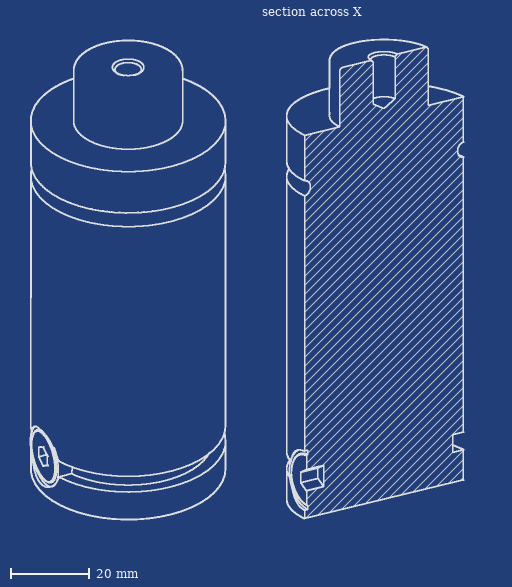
import cadquery as cq

total_height = 120.7
body_diameter = 50.0
body_height = 104.6
rod_diameter = 28.0
rod_edge_radius = 1.1

upper_groove_bottom = 88.1
upper_groove_top = 92.2
upper_groove_depth = 1.8

lower_groove_bottom = 8.3
lower_groove_top = 13.0
lower_groove_diameter = 43.2

rod_hole_diameter = 6.8
rod_hole_mouth_diameter = 8.1
rod_hole_depth = 12.1
drill_tip_height = 1.9

port_height = 10.4
port_diameter = 16.0
port_floor_distance = 24.0
port_root_distance = 18.1
plug_diameter = 14.0
plug_face_distance = 24.4
plug_chamfer = 0.3
socket_across_flats = 5.0
socket_depth = 5.4

body_radius = body_diameter / 2
rod_radius = rod_diameter / 2


def make_turned_body():
    """Revolve the body, both grooves and the rounded rod about Z."""
    lower_groove_radius = lower_groove_diameter / 2
    upper_groove_middle = (upper_groove_bottom + upper_groove_top) / 2
    return (
        cq.Workplane("XZ")
        .lineTo(body_radius, 0)
        .lineTo(body_radius, lower_groove_bottom)
        .lineTo(lower_groove_radius, lower_groove_bottom)
        .lineTo(lower_groove_radius, lower_groove_top)
        .lineTo(body_radius, lower_groove_top)
        .lineTo(body_radius, upper_groove_bottom)
        .threePointArc(
            (body_radius - upper_groove_depth, upper_groove_middle),
            (body_radius, upper_groove_top),
        )
        .lineTo(body_radius, body_height)
        .lineTo(rod_radius, body_height)
        .lineTo(rod_radius, total_height - rod_edge_radius)
        .radiusArc((rod_radius - rod_edge_radius, total_height), -rod_edge_radius)
        .lineTo(0, total_height)
        .close()
        .revolve(360, (0, 0, 0), (0, 1, 0))
    )


def make_rod_hole():
    """Blind hole with a 45 degree mouth chamfer and a conical bottom."""
    hole_radius = rod_hole_diameter / 2
    mouth_radius = rod_hole_mouth_diameter / 2
    hole_bottom = total_height - rod_hole_depth
    return (
        cq.Workplane("XZ")
        .moveTo(0, total_height)
        .lineTo(mouth_radius, total_height)
        .lineTo(hole_radius, total_height - (mouth_radius - hole_radius))
        .lineTo(hole_radius, hole_bottom)
        .lineTo(0, hole_bottom - drill_tip_height)
        .close()
        .revolve(360, (0, 0, 0), (0, 1, 0))
    )


def port_plane(distance):
    """Plane facing -Y, centred on the port at a distance from the body axis."""
    return cq.Workplane("XZ", origin=(0, -distance, port_height))


def add_port(body):
    """Add the port seat across the groove, then the plug and its socket."""
    port_radius = port_diameter / 2
    clearance = port_plane(port_floor_distance).circle(port_radius).extrude(body_radius)
    seat = port_plane(port_root_distance).circle(port_radius).extrude(
        port_floor_distance - port_root_distance
    )
    plug = (
        port_plane(port_root_distance)
        .circle(plug_diameter / 2)
        .extrude(plug_face_distance - port_root_distance)
        .faces("<Y")
        .chamfer(plug_chamfer)
    )
    socket = (
        port_plane(plug_face_distance - socket_depth)
        .polygon(6, socket_across_flats, circumscribed=True)
        .extrude(socket_depth)
    )
    return body.cut(clearance).union(seat).union(plug).cut(socket)


result = add_port(make_turned_body().cut(make_rod_hole()))